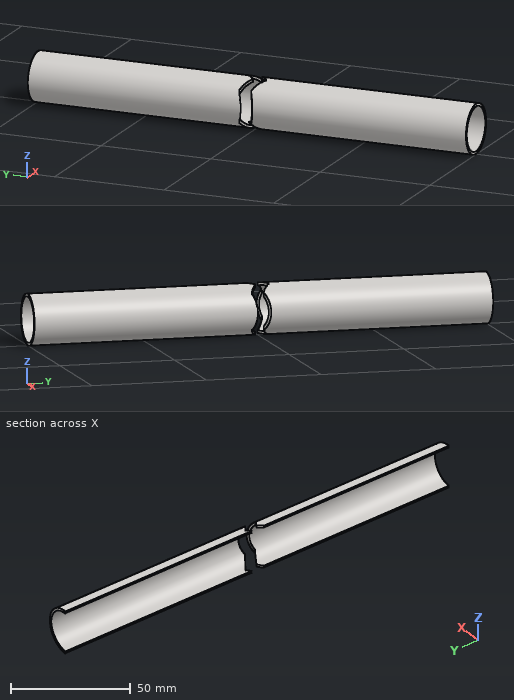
import cadquery as cq

length = 200.0
outer_diameter = 22.0
inner_diameter = 19.5

outer_radius = outer_diameter / 2
half_length = length / 2

rear_break = [
    (-outer_radius, 2.8),
    (-8.5, 4.5),
    (-2.0, 0.8),
    (1.8, 4.5),
    (7.5, 0.8),
    (outer_radius, 3.2),
]
front_break = [
    (-outer_radius, -2.5),
    (-8.2, -0.8),
    (-1.5, -5.0),
    (2.2, -1.5),
    (7.5, -4.5),
    (outer_radius, -2.5),
]


def make_tube():
    """Full-length plain tube before it is broken in two."""
    return (
        cq.Workplane("XZ")
        .circle(outer_radius)
        .circle(inner_diameter / 2)
        .extrude(half_length, both=True)
    )


def make_tube_half(break_edge, end_y):
    """Part of the tube between its broken edge and its flat end at end_y."""
    kept_region = (
        cq.Workplane("XY")
        .polyline(break_edge + [(outer_radius, end_y), (-outer_radius, end_y)])
        .close()
        .extrude(outer_radius, both=True)
    )
    return make_tube().intersect(kept_region).solids()


rear_tube = make_tube_half(rear_break, half_length)
front_tube = make_tube_half(front_break, -half_length)

result = cq.Compound.makeCompound([rear_tube.val(), front_tube.val()])